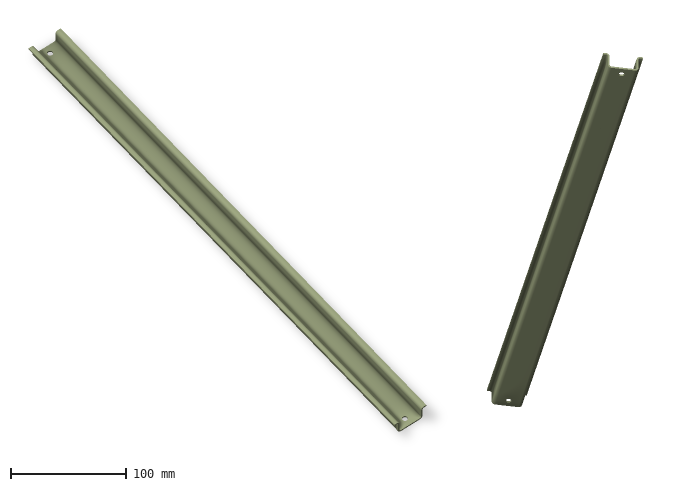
import cadquery as cq

length = 516.0
width = 35.0
height = 15.0

thickness = 1.5
channel_width = 27.0
inner_bend_radius = 1.5
outer_bend_radius = inner_bend_radius + thickness

hole_diameter = 5.0
hole_end_distance = 7.5


def make_section():
    """Sharp-cornered hat profile in the YZ plane, centred on Y and Z."""
    half_width = width / 2
    half_outer = channel_width / 2
    half_inner = half_outer - thickness
    top = height / 2
    bottom = -top
    right_half = [
        (half_outer, bottom),
        (half_outer, top - thickness),
        (half_width, top - thickness),
        (half_width, top),
        (half_inner, top),
        (half_inner, bottom + thickness),
    ]
    left_half = [(-y, z) for y, z in reversed(right_half)]
    return cq.Workplane("YZ").polyline(right_half + left_half).close()


def bend_edges(body, half_spacing, z):
    """Fold edges along the rail at +/- half_spacing in Y, at height z."""
    tolerance = 0.05
    selected = body.edges("|X")
    for_bend = []
    for edge in selected.vals():
        center = edge.Center()
        if abs(abs(center.y) - half_spacing) < tolerance and abs(center.z - z) < tolerance:
            for_bend.append(edge)
    return body.newObject(for_bend)


def round_bends(body):
    """Give every fold concentric inside and outside radii."""
    outer_face = channel_width / 2
    inner_face = outer_face - thickness
    top = height / 2
    bends = [
        (outer_face, -top, outer_bend_radius),
        (inner_face, thickness - top, inner_bend_radius),
        (inner_face, top, outer_bend_radius),
        (outer_face, top - thickness, inner_bend_radius),
    ]
    for half_spacing, z, radius in bends:
        body = bend_edges(body, half_spacing, z).fillet(radius)
    return body


def make_holes():
    """Cutters for one round hole in the floor near each end."""
    hole_x = length / 2 - hole_end_distance
    return (
        cq.Workplane("XY")
        .pushPoints([(-hole_x, 0), (hole_x, 0)])
        .circle(hole_diameter / 2)
        .extrude(height, both=True)
    )


rail = make_section().extrude(length / 2, both=True)
result = round_bends(rail).cut(make_holes())